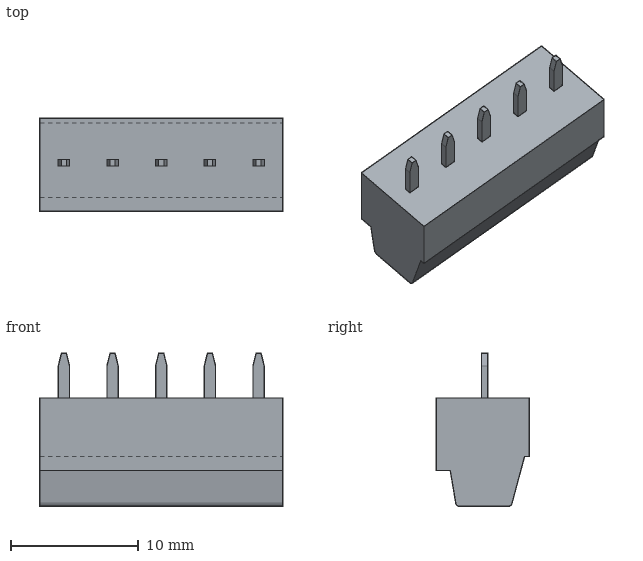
import cadquery as cq
import math

POLE_COUNT = 5
PITCH = 3.81

HOUSING_LENGTH = POLE_COUNT * PITCH
HOUSING_DEPTH = 7.3
HOUSING_HEIGHT = 8.5

FRONT_STEP_HEIGHT = 2.8
FRONT_STEP_DEPTH = 1.1
FRONT_NOSE_ANGLE = 9.5
BACK_STEP_HEIGHT = 3.9
BACK_STEP_DEPTH = 0.37
BACK_NOSE_ANGLE = 15.0
NOSE_EDGE_RADIUS = 0.3

PIN_WIDTH = 0.9
PIN_THICKNESS = 0.5
PIN_LENGTH = 3.5
PIN_TIP_WIDTH = 0.4
PIN_TIP_LENGTH = 1.0
PIN_OFFSET_Y = 0.15


def taper_run(height, angle):
    """Horizontal distance covered by a nose flank leaning at angle degrees from vertical."""
    return height * math.tan(math.radians(angle))


def make_housing():
    """Extrude the stepped YZ section along X and round the two lower nose edges."""
    half_depth = HOUSING_DEPTH / 2
    front_shoulder = -half_depth + FRONT_STEP_DEPTH
    back_shoulder = half_depth - BACK_STEP_DEPTH
    front_foot = front_shoulder + taper_run(FRONT_STEP_HEIGHT, FRONT_NOSE_ANGLE)
    back_foot = back_shoulder - taper_run(BACK_STEP_HEIGHT, BACK_NOSE_ANGLE)

    section = [
        (front_foot, 0),
        (back_foot, 0),
        (back_shoulder, BACK_STEP_HEIGHT),
        (half_depth, BACK_STEP_HEIGHT),
        (half_depth, HOUSING_HEIGHT),
        (-half_depth, HOUSING_HEIGHT),
        (-half_depth, FRONT_STEP_HEIGHT),
        (front_shoulder, FRONT_STEP_HEIGHT),
    ]
    block = (
        cq.Workplane("YZ")
        .polyline(section)
        .close()
        .extrude(HOUSING_LENGTH / 2, both=True)
    )
    return block.faces("<Z").edges("|X").fillet(NOSE_EDGE_RADIUS)


def make_pin(center_x):
    """Flat pin whose tip tapers in width only."""
    tip_top = HOUSING_HEIGHT + PIN_LENGTH
    tip_base = tip_top - PIN_TIP_LENGTH
    outline = [
        (-PIN_WIDTH / 2, HOUSING_HEIGHT),
        (PIN_WIDTH / 2, HOUSING_HEIGHT),
        (PIN_WIDTH / 2, tip_base),
        (PIN_TIP_WIDTH / 2, tip_top),
        (-PIN_TIP_WIDTH / 2, tip_top),
        (-PIN_WIDTH / 2, tip_base),
    ]
    pin = (
        cq.Workplane("XZ")
        .polyline(outline)
        .close()
        .extrude(PIN_THICKNESS / 2, both=True)
    )
    return pin.translate((center_x, PIN_OFFSET_Y, 0))


result = make_housing()
for pole in range(POLE_COUNT):
    pole_x = (pole - (POLE_COUNT - 1) / 2) * PITCH
    result = result.union(make_pin(pole_x))